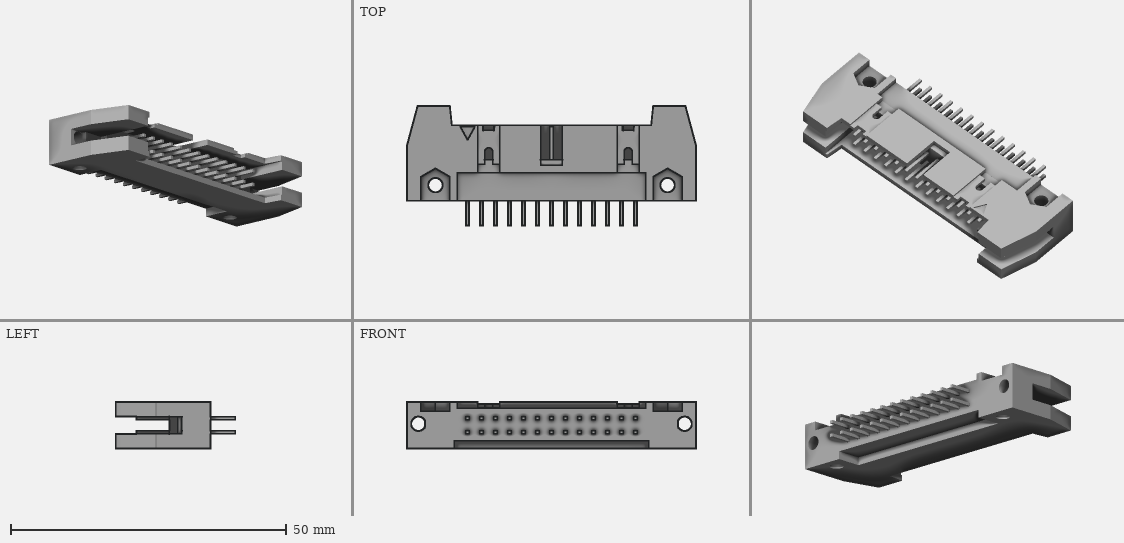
import cadquery as cq
import math


length = 52.6
thickness = 8.5
half_length = length / 2
top_z = thickness / 2
wall = 1.05
mouth_y = 13.75
arm_tip_y = 17.25
shoulder_y = 10.0
arm_outer_x = 24.35
arm_inner_x = 18.45
arm_root_x = 18.1

cavity_half_x = 18.85
cavity_top_z = top_z - wall
cavity_floor_y = 7.45
latch_slot_height = 3.1
latch_slot_floor_y = 5.2
latch_step_y = 6.0
latch_step_x = 23.05

rear_step_y = 5.05
top_step_half_x = 17.15
top_step_depth = 1.15
bottom_step_half_x = 17.65
bottom_step_depth = 1.45

groove_centers_x = (-11.4, 13.95)
groove_width = 4.0
groove_depth = 0.35
groove_ledge_y = 6.65
window_width = 1.45
window_end_y = 9.6
notch_width = 2.1
notch_length = 0.95

key_width = 4.0
key_rear_y = 6.45

hole_diameter = 2.6
mount_x = 21.1
mount_y = 2.85
nut_across_flats = 5.25
nut_pocket_depth = 1.7
end_hole_x = 24.2
end_hole_z = 0.25

pin_count = 13
pin_row_length = 30.5
pin_pitch = pin_row_length / (pin_count - 1)
pin_size = 0.6
pin_tail = 4.5
pin_tip_y = 13.45
first_pin_x = -pin_row_length / 2

mark_width = 2.6
mark_base_y = 13.4
mark_length = 2.35
mark_depth = 0.25


def block(x0, x1, y0, y1, z0, z1):
    """Axis-aligned box between two corners."""
    return cq.Workplane("XY").box(x1 - x0, y1 - y0, z1 - z0, centered=False).translate((x0, y0, z0))


def prism(points, z0, z1):
    """Closed XY outline extruded from z0 to z1."""
    return cq.Workplane("XY").workplane(offset=z0).polyline(points).close().extrude(z1 - z0)


def make_housing():
    right_side = [
        (half_length, 0),
        (half_length, shoulder_y),
        (arm_outer_x, arm_tip_y),
        (arm_inner_x, arm_tip_y),
        (arm_root_x, mouth_y),
    ]
    left_side = [(-x, y) for x, y in reversed(right_side)]
    return prism(right_side + left_side, -top_z, top_z)


def make_cavity():
    """Mating cavity, open at the front, with a stepped latch slot through each end."""
    half_slot = latch_slot_height / 2
    cavity = block(-cavity_half_x, cavity_half_x, cavity_floor_y, arm_tip_y, -cavity_top_z, cavity_top_z)
    for slot_half_x, x_inner, floor_y in (
        (latch_step_x, cavity_half_x, latch_step_y),
        (half_length, latch_step_x, latch_slot_floor_y),
    ):
        right_slot = block(x_inner, slot_half_x, floor_y, arm_tip_y, -half_slot, half_slot)
        cavity = cavity.union(right_slot).union(right_slot.mirror("YZ"))
    return cavity


def make_rear_steps():
    top_step = block(-top_step_half_x, top_step_half_x, 0, rear_step_y, top_z - top_step_depth, top_z)
    bottom_step = block(
        -bottom_step_half_x, bottom_step_half_x, 0, rear_step_y, -top_z, -top_z + bottom_step_depth
    )
    return top_step.union(bottom_step)


def make_groove(x):
    """Shallow groove with a deeper rear end, a round-ended window and a mouth notch."""
    half_groove = groove_width / 2
    half_window = window_width / 2
    half_notch = notch_width / 2
    arc_start_y = window_end_y - half_window
    window = (
        cq.Workplane("XY").workplane(offset=cavity_top_z)
        .moveTo(x - half_window, groove_ledge_y)
        .lineTo(x + half_window, groove_ledge_y)
        .lineTo(x + half_window, arc_start_y)
        .threePointArc((x, window_end_y), (x - half_window, arc_start_y))
        .close()
        .extrude(wall)
    )
    groove = block(x - half_groove, x + half_groove, rear_step_y, mouth_y, top_z - groove_depth, top_z)
    ledge = block(x - half_groove, x + half_groove, rear_step_y, groove_ledge_y, cavity_top_z, top_z)
    notch = block(x - half_notch, x + half_notch, mouth_y - notch_length, mouth_y, cavity_top_z, top_z)
    return groove.union(ledge).union(window).union(notch)


def make_key_opening():
    return block(-key_width / 2, key_width / 2, key_rear_y, mouth_y, cavity_top_z, top_z)


def make_end_holes(side):
    """For the -X or +X end: mounting hole with its nut pocket, and the hole into the latch slot."""
    x = side * mount_x
    half_flats = nut_across_flats / 2
    corner_radius = nut_across_flats / math.sqrt(3)
    mount_hole = cq.Workplane("XY").center(x, mount_y).circle(hole_diameter / 2).extrude(top_z, both=True)
    nut_outline = [
        (x - half_flats, 0),
        (x + half_flats, 0),
        (x + half_flats, mount_y + corner_radius / 2),
        (x, mount_y + corner_radius),
        (x - half_flats, mount_y + corner_radius / 2),
    ]
    nut_pocket = prism(nut_outline, top_z - nut_pocket_depth, top_z)
    rear_hole = (
        cq.Workplane("XZ").center(side * end_hole_x, end_hole_z)
        .circle(hole_diameter / 2)
        .extrude(-latch_slot_floor_y)
    )
    return mount_hole.union(nut_pocket).union(rear_hole)


def make_pin_mark():
    outline = [
        (first_pin_x - mark_width / 2, mark_base_y),
        (first_pin_x + mark_width / 2, mark_base_y),
        (first_pin_x, mark_base_y - mark_length),
    ]
    return prism(outline, top_z - mark_depth, top_z)


def make_pin(x, z):
    half_pin = pin_size / 2
    return block(x - half_pin, x + half_pin, -pin_tail, pin_tip_y, z - half_pin, z + half_pin)


result = make_housing().cut(make_cavity()).cut(make_rear_steps()).cut(make_key_opening()).cut(make_pin_mark())

for groove_x in groove_centers_x:
    result = result.cut(make_groove(groove_x))

for side in (-1, 1):
    result = result.cut(make_end_holes(side))

for column in range(pin_count):
    for row_z in (-pin_pitch / 2, pin_pitch / 2):
        result = result.union(make_pin(first_pin_x + column * pin_pitch, row_z))